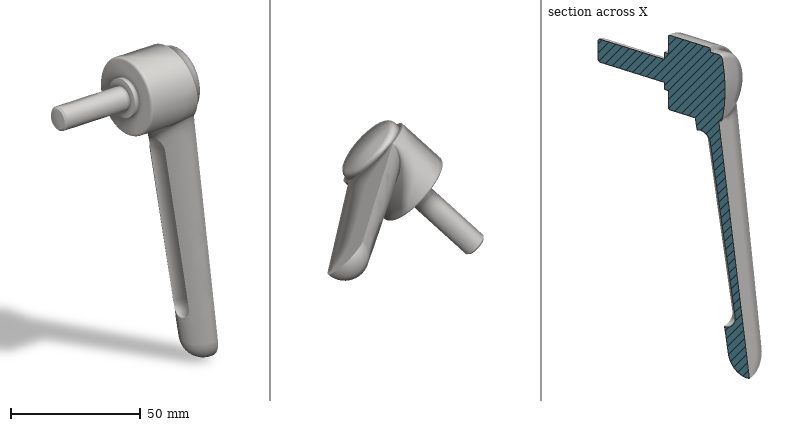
import cadquery as cq
import math


STUD_DIAMETER = 10.0
STUD_LENGTH = 32.0
STUD_CHAMFER = 0.8
COLLAR_DIAMETER = 16.0
COLLAR_HEIGHT = 2.0

HUB_DIAMETER = 32.0
HUB_EDGE_FILLET = 1.0

CAP_RADIUS = 14.25
CAP_APEX_Y = 29.75
CAP_DOME_RISE = 1.7
CAP_EDGE_FILLET = 2.0

BACK_TILT = 8.0
REACH_BACK = 41.5
REACH_DOWN = 120.02

ARM_END_RADIUS = 9.55
ARM_TAPER = 1.45
ARM_AXIS_OFFSET = 0.27
ARM_END_OVERLAP = 0.4

GROOVE_RADIUS = 4.8
GROOVE_TOP_DROP = 23.9
GROOVE_BOTTOM_DROP = 94.9

tilt_cos = math.cos(math.radians(BACK_TILT))
tilt_sin = math.sin(math.radians(BACK_TILT))
taper_slope = math.tan(math.radians(ARM_TAPER))
hub_radius = HUB_DIAMETER / 2
cap_rim_y = CAP_APEX_Y - CAP_DOME_RISE

sphere_drop = REACH_DOWN - ARM_END_RADIUS
sphere_station = (sphere_drop + ARM_AXIS_OFFSET * tilt_sin) / tilt_cos
cone_end_station = sphere_station + ARM_END_OVERLAP
cone_end_radius = math.sqrt(ARM_END_RADIUS**2 - ARM_END_OVERLAP**2)
tip_station = sphere_station + math.sqrt(ARM_END_RADIUS**2 - ARM_AXIS_OFFSET**2)
back_plane_y = REACH_BACK - tip_station * tilt_sin

arm_frame = cq.Plane(
    origin=(0, back_plane_y, 0),
    xDir=(0, tilt_sin, -tilt_cos),
    normal=(0, tilt_cos, tilt_sin),
)


def cylinder(radius, start_y, end_y):
    """Cylinder about the stud axis, between two Y positions."""
    base = cq.Workplane("XZ", origin=(0, end_y, 0))
    return base.circle(radius).extrude(end_y - start_y)


def space_behind_back_plane():
    """Block that covers everything behind the sloping back plane."""
    size = 4 * REACH_DOWN
    return cq.Workplane(arm_frame).rect(size, size).extrude(REACH_DOWN)


def cone_radius(station):
    """Radius of the arm cone at a station along the arm."""
    return cone_end_radius + (cone_end_station - station) * taper_slope


def make_stud():
    stud = cylinder(STUD_DIAMETER / 2, -STUD_LENGTH, COLLAR_HEIGHT)
    stud = stud.faces("<Y").chamfer(STUD_CHAMFER)
    return stud.union(cylinder(COLLAR_DIAMETER / 2, 0, COLLAR_HEIGHT))


def make_hub():
    hub = cylinder(hub_radius, COLLAR_HEIGHT, CAP_APEX_Y)
    return hub.faces("<Y").edges().fillet(HUB_EDGE_FILLET)


def make_cap():
    """Cap turned about the stud axis, with a spherical dome and a rounded rim."""
    dome_radius = (CAP_RADIUS**2 + CAP_DOME_RISE**2) / (2 * CAP_DOME_RISE)
    half_angle = math.asin(CAP_RADIUS / dome_radius) / 2
    dome_middle = (
        dome_radius * math.sin(half_angle),
        CAP_APEX_Y - dome_radius * (1 - math.cos(half_angle)),
    )
    cap = (
        cq.Workplane("XY")
        .moveTo(0, COLLAR_HEIGHT + HUB_EDGE_FILLET)
        .lineTo(CAP_RADIUS, COLLAR_HEIGHT + HUB_EDGE_FILLET)
        .lineTo(CAP_RADIUS, cap_rim_y)
        .threePointArc(dome_middle, (0, CAP_APEX_Y))
        .close()
        .revolve(360, (0, 0, 0), (0, 1, 0))
    )
    rim = cq.selectors.BoxSelector(
        (-hub_radius, cap_rim_y - CAP_DOME_RISE / 2, -hub_radius),
        (hub_radius, cap_rim_y + CAP_DOME_RISE / 2, hub_radius),
    )
    return cap.edges(rim).fillet(CAP_EDGE_FILLET)


def make_arm():
    """Round tapered arm, turned about its own axis."""
    end_diagonal = ARM_END_RADIUS / math.sqrt(2)
    axis_origin = arm_frame.toWorldCoords((0, 0, ARM_AXIS_OFFSET))
    axis_plane = cq.Plane(axis_origin, arm_frame.xDir, arm_frame.zDir)
    return (
        cq.Workplane(axis_plane)
        .moveTo(0, 0)
        .lineTo(0, cone_radius(0))
        .lineTo(cone_end_station, cone_end_radius)
        .threePointArc(
            (sphere_station + end_diagonal, end_diagonal),
            (sphere_station + ARM_END_RADIUS, 0),
        )
        .close()
        .revolve(360, (0, 0, 0), (1, 0, 0))
    )


def groove_centre(drop):
    """Point of the groove axis, level with the arm surface at the groove edges."""
    station = drop / tilt_cos
    depth = math.sqrt(cone_radius(station)**2 - GROOVE_RADIUS**2)
    return arm_frame.toWorldCoords((station, 0, ARM_AXIS_OFFSET - depth))


def make_groove():
    top = groove_centre(GROOVE_TOP_DROP)
    bottom = groove_centre(GROOVE_BOTTOM_DROP)
    run = bottom - top
    groove = cq.Workplane(
        cq.Solid.makeCylinder(GROOVE_RADIUS, run.Length, top, run)
    )
    for centre in (top, bottom):
        end = cq.Workplane("XY").sphere(GROOVE_RADIUS).translate(centre)
        groove = groove.union(end)
    return groove


result = (
    make_hub()
    .union(make_arm())
    .cut(space_behind_back_plane())
    .cut(make_groove())
    .union(make_cap())
    .union(make_stud())
)